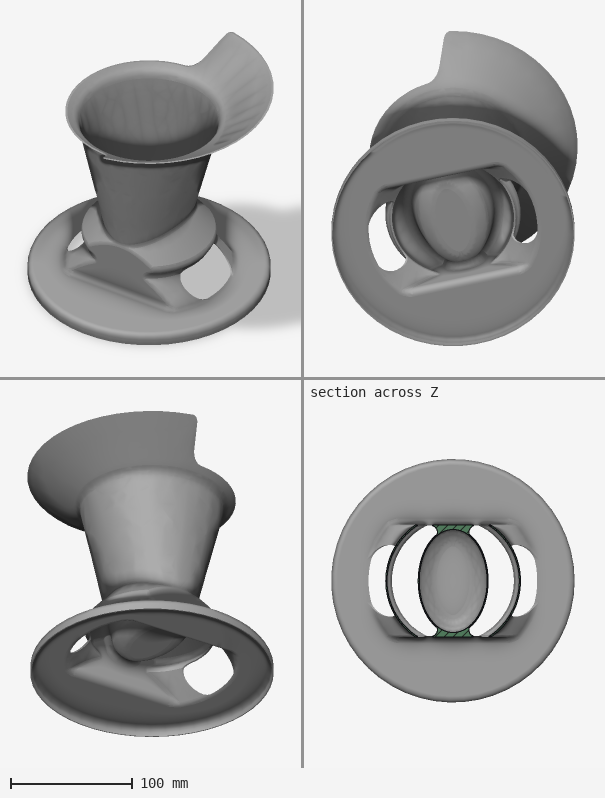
import cadquery as cq
import math

height_margin = 0.2

wall = 1.0
total_height = 189.5
base_radius = 100.0
base_height = 10.1
base_edge_fillet = 4.9

flat_half_width = 46.4
flat_edge_fillet = 4.0
foot_fillet = 4.9
flare_bottom = (79.4, 0)
flare_top = (51.6, 31.8)
groove_middle = (51.6, 34.6)
groove_top = (53.2, 38.0)
bead_middle = (55.7, 43.1)
bead_top = (54.7, 46.5)
shoulder_top = (34.5, 70.0)

slot_bottom = base_height
slot_top = 34.2
slot_half_length = 29.5

cup_floor_height = 29.2
cup_floor_x = 25.5
cup_floor_y = 41.5
cup_mouth_height = 155.3
cup_mouth_radius = 58.7
cup_floor_fillet = 15.2
neck_bottom = 56.3
neck_fillet = 4.0

lip_height = 165.5
lip_cone_start = (63.5, 161.5)
lip_arc_middle = (60.3, 159.0)
collar_radius = 102.5
step_foot_x = 2.0
step_head_x = 16.0
step_foot_round = 15.0
step_head_round = 8.0


def height_band(low, high):
    """Selector for everything near the axis between two heights."""
    reach = flare_bottom[0]
    return cq.selectors.BoxSelector((-reach, -reach, low), (reach, reach, high))


def make_pedestal(inset):
    """Turned pedestal between its flats; a positive inset gives its inner side."""
    turned_inset = math.sqrt(2) * inset

    def inward(point):
        return (point[0] - turned_inset, point[1])

    turned = (
        cq.Workplane("XZ")
        .lineTo(*inward(flare_bottom))
        .lineTo(*inward(flare_top))
        .threePointArc(inward(groove_middle), inward(groove_top))
        .threePointArc(inward(bead_middle), inward(bead_top))
        .lineTo(*inward(shoulder_top))
        .lineTo(0, shoulder_top[1])
        .close()
        .revolve(360, (0, 0, 0), (0, 1, 0))
    )
    depth = 2 * (flat_half_width - inset)
    slab = cq.Workplane("XY").box(2 * base_radius, depth, 2 * total_height)
    return turned.intersect(slab)


def make_stand(inset):
    """Base plate and pedestal with their rounds; a positive inset gives the cavity."""
    top = base_height - inset
    stand = (
        cq.Workplane("XY")
        .circle(base_radius - inset)
        .extrude(top)
        .faces(">Z")
        .edges()
        .fillet(base_edge_fillet - inset)
        .union(make_pedestal(inset))
    )
    above_plate = height_band(top + height_margin, total_height)
    for side in (-1, 1):
        flat = cq.selectors.NearestToPointSelector(
            (0, side * (flat_half_width - inset), flare_top[1])
        )
        stand = stand.faces(flat).edges(above_plate).fillet(flat_edge_fillet - inset)
    around_foot = height_band(top - height_margin, top + height_margin)
    return stand.edges(around_foot).fillet(foot_fillet + inset)


def make_cup(inset):
    """Lofted cup from elliptical floor to round mouth, with a rounded floor edge."""
    floor = cup_floor_height + inset
    return (
        cq.Workplane("XY", origin=(0, 0, floor))
        .ellipse(cup_floor_y - inset, cup_floor_x - inset, 90)
        .workplane(offset=cup_mouth_height - floor)
        .ellipse(cup_mouth_radius - inset, cup_mouth_radius - inset, 90)
        .loft(combine=True)
        .faces("<Z")
        .edges()
        .fillet(cup_floor_fillet - inset)
    )


def make_slots():
    """Stadium bar along X that opens both curved pedestal walls."""
    height = slot_top - slot_bottom
    return (
        cq.Workplane("YZ", origin=(-base_radius, 0, (slot_top + slot_bottom) / 2))
        .slot2D(2 * slot_half_length, height)
        .extrude(2 * base_radius)
    )


def edge_along_y(x, z):
    """Selector for the edge parallel to Y that passes through (x, z)."""
    return cq.selectors.NearestToPointSelector((x, 0, z))


def make_lip():
    """Thin flared lip, low on the -X side and stepping up to the tall collar."""
    cone_run = collar_radius - lip_cone_start[0]
    cone_rise = total_height - lip_cone_start[1]
    cone_length = math.hypot(cone_run, cone_rise)
    normal_x = -wall * cone_rise / cone_length
    normal_z = wall * cone_run / cone_length
    inner_shift_x = (normal_x - wall) / 2
    inner_shift_z = normal_z / 2
    rim_width = wall * cone_length / cone_rise
    ring = (
        cq.Workplane("XZ")
        .moveTo(cup_mouth_radius, cup_mouth_height)
        .threePointArc(lip_arc_middle, lip_cone_start)
        .lineTo(collar_radius, total_height)
        .lineTo(collar_radius - rim_width, total_height)
        .lineTo(lip_cone_start[0] + normal_x, lip_cone_start[1] + normal_z)
        .threePointArc(
            (lip_arc_middle[0] + inner_shift_x, lip_arc_middle[1] + inner_shift_z),
            (cup_mouth_radius - wall, cup_mouth_height),
        )
        .close()
        .revolve(360, (0, 0, 0), (0, 1, 0))
    )
    reach = 2 * base_radius
    kept = (
        cq.Workplane("XZ")
        .moveTo(-reach, 0)
        .lineTo(reach, 0)
        .lineTo(reach, total_height)
        .lineTo(step_head_x, total_height)
        .lineTo(step_foot_x, lip_height)
        .lineTo(-reach, lip_height)
        .close()
        .extrude(reach, both=True)
    )
    step_foot = edge_along_y(step_foot_x, lip_height)
    step_head = edge_along_y(step_head_x, total_height)
    kept = kept.edges(step_foot).fillet(step_foot_round)
    kept = kept.edges(step_head).fillet(step_head_round)
    return ring.intersect(kept)


neck = height_band(neck_bottom, shoulder_top[1])
shell = make_stand(0).cut(make_stand(wall)).cut(make_slots())
body = shell.union(make_cup(0))
body = body.edges(neck).fillet(neck_fillet)
result = body.cut(make_cup(wall)).union(make_lip())